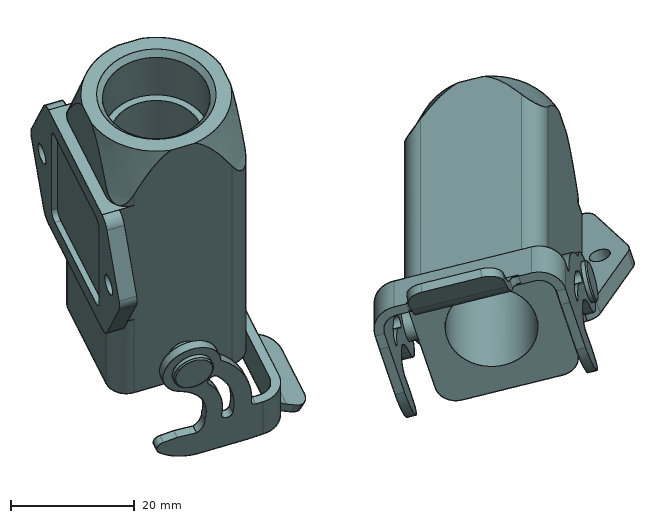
import cadquery as cq
import math

body_width = 24.0
body_height = 57.3
body_corner_radius = 3.5
body_half = body_width / 2

flat_half_width_at_top = 2.1
cone_depth = 11.0
cone_top_radius = math.hypot(body_half, flat_half_width_at_top)
corner_reach = math.sqrt(2) * (body_half - body_corner_radius) + body_corner_radius

bore_radius = 7.5
entry_radius = 8.7
entry_depth = 10.2
entry_chamfer = 0.95

flange_back = -14.0
flange_thickness = 3.0
flange_height = 28.15
flange_length = 39.95
flange_top_length = 27.1
flange_corner_radius = 2.5
flange_hole_spacing = 30.0
flange_hole_diameter = 3.5
recess_size = 21.4
recess_corner_radius = 1.5
recess_depth = 1.0
flange_top = body_height - cone_depth
flange_mid_z = flange_top - flange_height / 2

pivot_z = 6.5
pin_radius = 2.5
pin_head_radius = 3.4
pin_head_chamfer = 0.2
pin_end_x = 17.0
pin_embedment = 0.8

lever_thickness = 1.6
lever_half_width = 16.0
eye_radius = 5.0
arm_centre_y = -4.8
arm_centre_z = -4.8
arm_outer_radius = 15.15
arm_start_angle = -15.0
eye_distance = math.hypot(arm_centre_y, pivot_z - arm_centre_z)
eye_angle = math.degrees(math.atan2(pivot_z - arm_centre_z, -arm_centre_y))
arm_inner_radius = eye_distance - eye_radius
slot_radius = 11.1
slot_width = 2.0
slot_start_angle = -10.5
slot_end_angle = 40.0

bridge_outer_y = 16.75
bridge_bend_radius = 4.5
bridge_top = -6.5
bridge_bottom = -14.5
bridge_bend_y = bridge_outer_y - bridge_bend_radius
arm_root_fillet = 0.6

hook_bottom = -14.7
hook_heel_y = 9.7

hook_notch_mid = (1.5, -8.85)
hook_notch_end = (0.8, -9.4)
hook_crest = (-2.55, -9.2)
hook_tip_start = (-4.95, -9.4)
hook_tip_mid = (-6.1, -10.3)
hook_tip_end = (-5.75, -11.6)
hook_belly_mid = (-3.1, -13.55)
hook_belly_end = (0.8, hook_bottom)

tab_half_width = 8.05
tab_outer_y = 17.0
tab_bend_radius = 4.8
tab_bend_angle = 61.0
tab_end_y = 23.7
tab_corner_radius = 3.0
tab_neck_fillet = 1.35


def make_body():
    body = (
        cq.Workplane("XY")
        .rect(body_width, body_width)
        .extrude(body_height)
        .edges("|Z")
        .fillet(body_corner_radius)
    )
    envelope = (
        cq.Workplane("XZ")
        .moveTo(0, 0)
        .lineTo(corner_reach, 0)
        .lineTo(corner_reach, body_height - cone_depth)
        .lineTo(cone_top_radius, body_height)
        .lineTo(0, body_height)
        .close()
        .revolve(360, (0, 0, 0), (0, 1, 0))
    )
    return body.intersect(envelope)


def make_flange():
    half_height = flange_height / 2
    slant = math.atan2(flange_length / 2 - flange_top_length / 2, half_height)
    tip_loss = flange_corner_radius * (1 / math.cos(slant) - 1)
    tip_x = flange_length / 2 + tip_loss
    top_x = flange_top_length / 2
    outline = [
        (tip_x, 0),
        (top_x, half_height),
        (-top_x, half_height),
        (-tip_x, 0),
        (-top_x, -half_height),
        (top_x, -half_height),
    ]
    plane = cq.Workplane("XZ", origin=(0, flange_back, flange_mid_z))
    plate = plane.polyline(outline).close().extrude(-flange_thickness)
    plate = plate.edges("|Y").fillet(flange_corner_radius)
    seat = plane.rect(body_width, flange_height).extrude(flange_back)
    holes = (
        plane.pushPoints([(-flange_hole_spacing / 2, 0), (flange_hole_spacing / 2, 0)])
        .circle(flange_hole_diameter / 2)
        .extrude(-flange_thickness)
    )
    recess = (
        plane.rect(recess_size, recess_size)
        .extrude(-recess_depth)
        .edges("|Y")
        .fillet(recess_corner_radius)
    )
    return plate.union(seat).cut(holes).cut(recess)


def make_bore():
    top = cq.Workplane("XY", origin=(0, 0, body_height))
    through = top.circle(bore_radius).extrude(-body_height)
    entry = top.circle(entry_radius).extrude(-entry_depth)
    chamfer = top.circle(entry_radius + entry_chamfer).extrude(-entry_chamfer, taper=45)
    return through.union(entry).union(chamfer)


def make_pin():
    shank_start = body_half - pin_embedment
    side = cq.Workplane("YZ")
    shank = (
        side.workplane(offset=shank_start)
        .center(0, pivot_z)
        .circle(pin_radius)
        .extrude(lever_half_width - shank_start)
    )
    head = (
        side.workplane(offset=lever_half_width)
        .center(0, pivot_z)
        .circle(pin_head_radius)
        .extrude(pin_end_x - lever_half_width)
        .faces(">X")
        .chamfer(pin_head_chamfer)
    )
    return shank.union(head)


def arm_point(radius, angle):
    """Point in (Y, Z) on a circle about the centre of the arm's curve."""
    turn = math.radians(angle)
    return (arm_centre_y + radius * math.cos(turn), arm_centre_z + radius * math.sin(turn))


def arc_band(inner, outer, start, end):
    """Curved band of the lever's thickness, between two radii and two angles."""
    middle = (start + end) / 2
    return (
        cq.Workplane("YZ", origin=(lever_half_width - lever_thickness, 0, 0))
        .moveTo(*arm_point(inner, start))
        .threePointArc(arm_point(inner, middle), arm_point(inner, end))
        .lineTo(*arm_point(outer, end))
        .threePointArc(arm_point(outer, middle), arm_point(outer, start))
        .close()
        .extrude(lever_thickness)
    )


def make_arm():
    side = cq.Workplane("YZ", origin=(lever_half_width - lever_thickness, 0, 0))
    eye = side.center(0, pivot_z).circle(eye_radius).extrude(lever_thickness)
    band = arc_band(arm_inner_radius, arm_outer_radius, arm_start_angle, eye_angle)
    arm_front_y = arm_point(arm_outer_radius, 0)[0]
    notch_start = arm_point(arm_inner_radius, arm_start_angle)
    hook = (
        side.moveTo(bridge_bend_y, bridge_top)
        .lineTo(arm_front_y + arm_root_fillet, bridge_top)
        .radiusArc((arm_front_y, bridge_top + arm_root_fillet), arm_root_fillet)
        .lineTo(slot_radius + arm_centre_y, bridge_top)
        .lineTo(*notch_start)
        .threePointArc(hook_notch_mid, hook_notch_end)
        .lineTo(*hook_crest)
        .lineTo(*hook_tip_start)
        .threePointArc(hook_tip_mid, hook_tip_end)
        .threePointArc(hook_belly_mid, hook_belly_end)
        .lineTo(hook_heel_y, hook_bottom)
        .lineTo(bridge_bend_y, bridge_bottom)
        .close()
        .extrude(lever_thickness)
    )
    slot = arc_band(
        slot_radius - slot_width / 2, slot_radius + slot_width / 2, slot_start_angle, slot_end_angle
    )
    for angle in (slot_start_angle, slot_end_angle):
        y, z = arm_point(slot_radius, angle)
        slot = slot.union(side.center(y, z).circle(slot_width / 2).extrude(lever_thickness))
    return eye.union(band).union(hook).cut(slot)


def make_bridge():
    def bent_strip(half_width, bend_radius):
        flat_half = half_width - bend_radius
        end_y = bridge_bend_y + bend_radius
        arc_mid = bend_radius * math.sqrt(0.5)
        return (
            cq.Workplane("XY", origin=(0, 0, bridge_bottom))
            .moveTo(-half_width, bridge_bend_y)
            .threePointArc((-flat_half - arc_mid, bridge_bend_y + arc_mid), (-flat_half, end_y))
            .lineTo(flat_half, end_y)
            .threePointArc((flat_half + arc_mid, bridge_bend_y + arc_mid), (half_width, bridge_bend_y))
            .close()
            .extrude(bridge_top - bridge_bottom)
        )

    outer = bent_strip(lever_half_width, bridge_bend_radius)
    inner = bent_strip(lever_half_width - lever_thickness, bridge_bend_radius - lever_thickness)
    return outer.cut(inner)


def make_tab():
    turn = math.radians(tab_bend_angle)
    half_turn = turn / 2
    centre_y = tab_outer_y + tab_bend_radius
    outer_radius = tab_bend_radius + lever_thickness

    def bend_point(radius, angle):
        return (centre_y - radius * math.cos(angle), bridge_bottom - radius * math.sin(angle))

    bend_end_y, bend_end_z = bend_point(tab_bend_radius, turn)
    flat_length = (tab_end_y - bend_end_y) / math.sin(turn)
    end_top = (tab_end_y, bend_end_z - flat_length * math.cos(turn))
    end_bottom = (
        end_top[0] - lever_thickness * math.cos(turn),
        end_top[1] - lever_thickness * math.sin(turn),
    )
    neck_half_width = tab_half_width + tab_neck_fillet
    strip = (
        cq.Workplane("YZ", origin=(-neck_half_width, 0, 0))
        .moveTo(*bend_point(tab_bend_radius, 0))
        .threePointArc(bend_point(tab_bend_radius, half_turn), (bend_end_y, bend_end_z))
        .lineTo(*end_top)
        .lineTo(*end_bottom)
        .lineTo(*bend_point(outer_radius, turn))
        .threePointArc(bend_point(outer_radius, half_turn), bend_point(outer_radius, 0))
        .close()
        .extrude(2 * neck_half_width)
    )
    neck_z = bridge_bottom - tab_neck_fillet
    width_outline = (
        cq.Workplane("XZ")
        .moveTo(-neck_half_width, bridge_bottom)
        .radiusArc((-tab_half_width, neck_z), tab_neck_fillet)
        .lineTo(-tab_half_width, end_bottom[1])
        .lineTo(tab_half_width, end_bottom[1])
        .lineTo(tab_half_width, neck_z)
        .radiusArc((neck_half_width, bridge_bottom), tab_neck_fillet)
        .close()
        .extrude(-tab_end_y)
    )
    tab = strip.intersect(width_outline)
    return tab.faces(">Y").edges("not |X").fillet(tab_corner_radius)


pin = make_pin()
arm = make_arm()
result = make_body().union(make_flange()).cut(make_bore())
for side_part in (pin, arm):
    result = result.union(side_part).union(side_part.mirror("YZ"))
result = result.union(make_bridge()).union(make_tab())